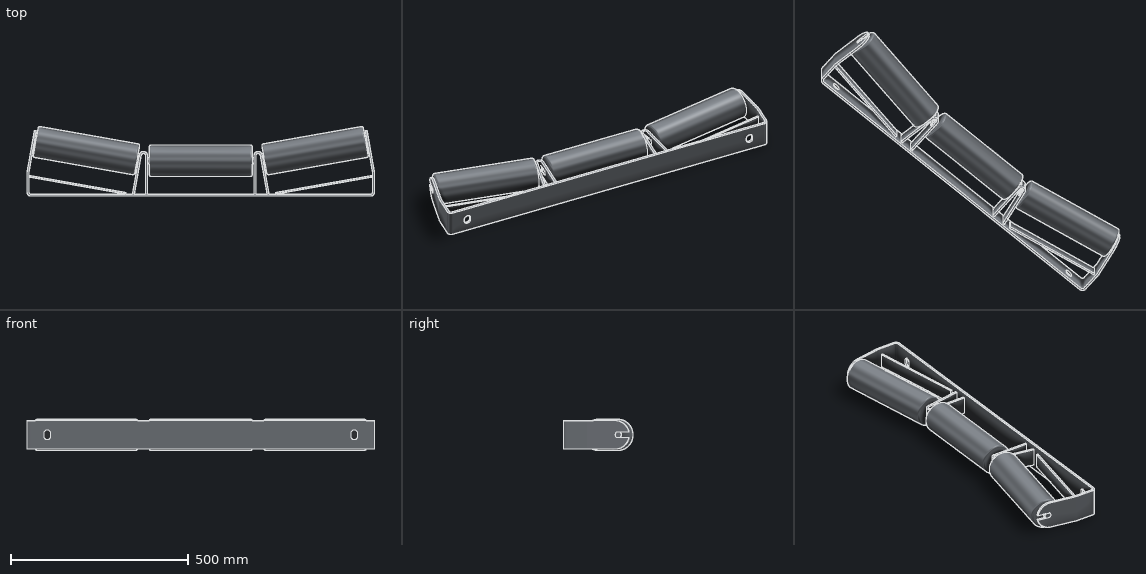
import cadquery as cq
import math

frame_length = 980.0
frame_width = 80.0
strip_thickness = 6.0
bend_inner_radius = 6.0
tilt_deg = 10.0

upright_bend_y = 68.0
upright_end_s = 62.0
mount_slot_spacing = 865.0
mount_slot_width = 19.0
mount_slot_height = 27.0

bracket_inside_span = 300.0
bracket_top_y = 126.0
bracket_width = 50.0

brace_thickness = 5.0
brace_width = 40.0
brace_contact_y = 54.0

drum_diameter = 89.0
drum_length = 291.0
drum_edge_radius = 6.0
shaft_diameter = 19.0
shaft_flat_width = 15.0
middle_roller_y = 100.0
side_roller_s = 71.0

half_length = frame_length / 2
half_width = frame_width / 2
bend_outer_radius = bend_inner_radius + strip_thickness
tilt = math.radians(tilt_deg)


def tilted(n, s):
    """X, Y of a point in the frame turned by the tilt about the origin: n outward, s along the lean."""
    return (
        n * math.cos(tilt) - s * math.sin(tilt),
        n * math.sin(tilt) + s * math.cos(tilt),
    )


def tilt_about_origin(body):
    return body.rotate((0, 0, 0), (0, 0, 1), tilt_deg)


def mirrored_x(body):
    return body.mirror("YZ")


upright_outer_n = half_length * math.cos(tilt) + upright_bend_y * math.sin(tilt)
upright_inner_n = upright_outer_n - strip_thickness

bracket_bend_x = bracket_inside_span / 2 + bend_outer_radius
bracket_bend_y = bracket_top_y - bend_outer_radius
bracket_bend_n = bracket_bend_x * math.cos(tilt) + bracket_bend_y * math.sin(tilt)
bracket_outer_n = bracket_bend_n + bend_outer_radius

side_roller_n = (bracket_outer_n + upright_inner_n) / 2
side_inside_span = upright_inner_n - bracket_outer_n


def shaft_blank(inside_span):
    """Shaft along X, flush with the far faces of the plates on both sides."""
    length = inside_span + 2 * strip_thickness
    shaft = cq.Workplane("YZ").circle(shaft_diameter / 2).extrude(length / 2, both=True)
    return shaft.intersect(cq.Workplane("XY").box(length, shaft_diameter, shaft_flat_width))


def roller(inside_span):
    drum = cq.Workplane("YZ").workplane(offset=-drum_length / 2).circle(drum_diameter / 2).extrude(drum_length)
    drum = drum.edges("%CIRCLE").fillet(drum_edge_radius)
    return drum.union(shaft_blank(inside_span))


def shaft_slot(inside_span):
    """Cutter for the slots that hold a shaft, open toward +Y."""
    length = inside_span + 2 * strip_thickness
    opening = cq.Workplane("XY").box(length, drum_diameter, shaft_flat_width)
    opening = opening.translate((0, drum_diameter / 2, 0))
    return shaft_blank(inside_span).union(opening)


def at_middle(body):
    return body.translate((0, middle_roller_y, 0))


def at_right_side(body):
    return tilt_about_origin(body.translate((side_roller_n, side_roller_s, 0)))


middle_slot = at_middle(shaft_slot(bracket_inside_span))
right_slot = at_right_side(shaft_slot(side_inside_span))


def frame_body():
    inner_bend_y = upright_bend_y - strip_thickness * math.tan(tilt / 2)
    right_side = [
        (half_length, 0),
        (half_length, upright_bend_y),
        tilted(upright_outer_n, upright_end_s),
        tilted(upright_inner_n, upright_end_s),
        (half_length - strip_thickness, inner_bend_y),
        (half_length - strip_thickness, strip_thickness),
    ]
    left_side = [(-x, y) for x, y in reversed(right_side)]
    strip = cq.Workplane("XY").polyline(right_side + left_side).close().extrude(half_width, both=True)

    for side in (-1, 1):
        outer_corner = cq.selectors.NearestToPointSelector((side * half_length, 0, 0))
        strip = strip.edges(outer_corner).fillet(bend_outer_radius)
        inner_corner = cq.selectors.NearestToPointSelector(
            (side * (half_length - strip_thickness), strip_thickness, 0)
        )
        strip = strip.edges(inner_corner).fillet(bend_inner_radius)

    rounded_end = cq.Workplane("YZ").circle(half_width).extrude(strip_thickness)
    rounded_end = tilt_about_origin(rounded_end.translate((upright_inner_n, upright_end_s, 0)))
    strip = strip.union(rounded_end).union(mirrored_x(rounded_end))

    mount_slots = (
        cq.Workplane("XZ")
        .pushPoints([(-mount_slot_spacing / 2, 0), (mount_slot_spacing / 2, 0)])
        .slot2D(mount_slot_height, mount_slot_width, 90)
        .extrude(-strip_thickness)
    )
    return strip.cut(mount_slots).cut(right_slot).cut(mirrored_x(right_slot))


def bend_point(radius, angle):
    return (
        bracket_bend_x + radius * math.cos(angle),
        bracket_bend_y + radius * math.sin(angle),
    )


def leaning_foot(n):
    """Point where the leaning face at distance n meets the top of the base."""
    return ((n - strip_thickness * math.sin(tilt)) / math.cos(tilt), strip_thickness)


def right_bracket():
    crown = (math.pi + tilt) / 2
    outline = (
        cq.Workplane("XY")
        .moveTo(bracket_bend_x - bend_outer_radius, strip_thickness)
        .lineTo(*bend_point(bend_outer_radius, math.pi))
        .threePointArc(bend_point(bend_outer_radius, crown), bend_point(bend_outer_radius, tilt))
        .lineTo(*leaning_foot(bracket_outer_n))
        .lineTo(*leaning_foot(bracket_outer_n - strip_thickness))
        .lineTo(*bend_point(bend_inner_radius, tilt))
        .threePointArc(bend_point(bend_inner_radius, crown), bend_point(bend_inner_radius, math.pi))
        .lineTo(bracket_bend_x - bend_inner_radius, strip_thickness)
        .close()
    )
    return outline.extrude(bracket_width / 2, both=True).cut(middle_slot).cut(right_slot)


def right_brace():
    length = (brace_contact_y - strip_thickness) / math.sin(tilt)
    brace = cq.Workplane("XY").box(length, brace_thickness, brace_width, centered=(False, False, True))
    brace = tilt_about_origin(brace.translate((-length, 0, 0)))
    return brace.translate((half_length - strip_thickness, brace_contact_y, 0))


frame = frame_body()
middle_roller = at_middle(roller(bracket_inside_span))
side_roller = at_right_side(roller(side_inside_span))

bodies = [*frame.solids().vals(), *middle_roller.solids().vals()]
for right_body in (side_roller, right_bracket(), right_brace()):
    bodies.extend(right_body.solids().vals())
    bodies.extend(mirrored_x(right_body).solids().vals())

result = cq.Compound.makeCompound(bodies)